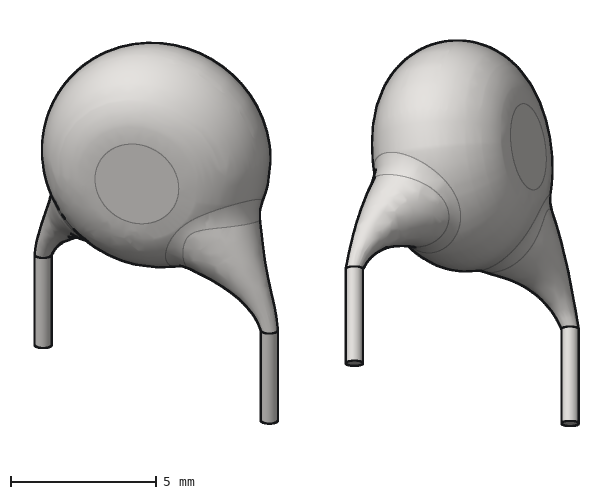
import cadquery as cq

total_height = 12.59
total_width = 9.8
disc_thickness = 5.0
disc_diameter = 8.0
lead_diameter = 0.6
lead_length = 3.41
lead_offset_y = 2.0
leg_blend_radius = 1.26
leg_count = 2
half_turn = 180

disc_radius = disc_diameter / 2
rim_radius = disc_thickness / 2
flat_radius = disc_radius - rim_radius
lead_radius = lead_diameter / 2
lead_offset_x = total_width / 2 - lead_radius
lead_bottom = disc_radius - total_height
lead_top = lead_bottom + lead_length

leg_sections = [
    ((lead_offset_x, -lead_offset_y, lead_top), (0, 0, 1), lead_radius),
    ((4.3, -1.85, -4.43), (-0.5, 0.2, 1), 0.43),
    ((3.7, -1.59, -3.6), (-0.7, 0.3, 1), 0.75),
    ((2.65, -0.97, -2.6), (-0.9, 0.5, 1), 1.51),
    ((1.64, -0.5, -1.51), (-1, 0.5, 1), 1.89),
]


def make_disc():
    """Round disc with two flat faces and a fully rounded rim."""
    half_profile = (
        cq.Workplane("XY")
        .moveTo(0, -rim_radius)
        .lineTo(flat_radius, -rim_radius)
        .threePointArc((disc_radius, 0), (flat_radius, rim_radius))
        .lineTo(0, rim_radius)
        .close()
    )
    return half_profile.revolve(360, (0, 0, 0), (0, 1, 0))


def make_leg():
    """Flared leg that widens smoothly from the +X lead into the disc."""
    rings = []
    for centre, axis, radius in leg_sections:
        ring_plane = cq.Plane(origin=centre, xDir=(0, 1, 0), normal=axis)
        rings.append(cq.Workplane(ring_plane).circle(radius).val())
    return cq.Workplane(cq.Solid.makeLoft(rings))


def make_coating():
    """Coating of the disc together with its two opposite legs, each blended into the disc."""
    leg = make_leg()
    leg_side = cq.selectors.BoxSelector(
        (0, -total_width, -total_height), (total_width, total_width, total_height)
    )
    coating = make_disc()
    for _ in range(leg_count):
        coating = coating.rotate((0, 0, 0), (0, 0, 1), half_turn).union(leg)
        coating = coating.edges(leg_side).edges("%BSPLINE").edges(">Z").fillet(leg_blend_radius)
    return coating


def make_lead(side):
    """Straight wire under the leg on the +X (side = 1) or -X (side = -1) side."""
    return (
        cq.Workplane("XY", origin=(side * lead_offset_x, -side * lead_offset_y, lead_bottom))
        .circle(lead_radius)
        .extrude(lead_length)
    )


coating = make_coating()
leads = [make_lead(side).val() for side in (1, -1)]

result = cq.Compound.makeCompound([coating.val(), *leads])